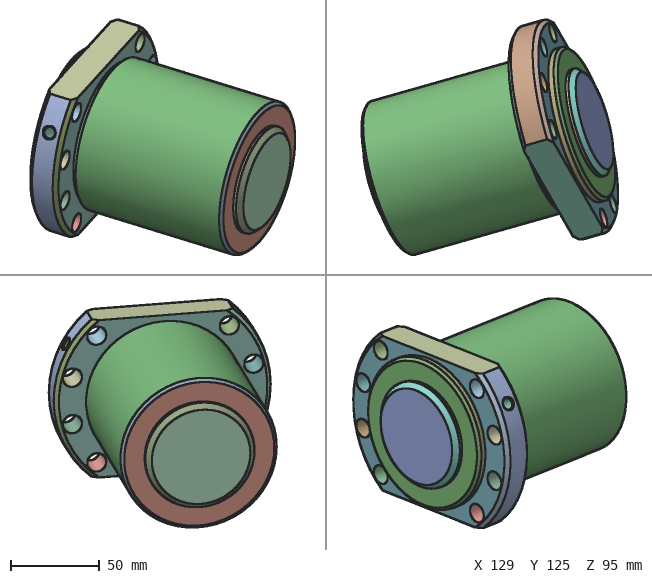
import cadquery as cq
import math

screw_length = 129.0
screw_diameter = 63.0
screw_chamfer = 3.1

screw_overhang = 4.9
nut_start = screw_overhang
nut_end = screw_length - screw_overhang
nut_diameter = 90.0
nut_chamfer = 1.8

flange_start = 9.9
flange_thickness = 18.0
flange_end = flange_start + flange_thickness
flange_diameter = 125.0
flange_height = 95.0
flange_chamfer = 2.5

groove_diameter = 84.6
groove_width = 3.0

bolt_hole_diameter = 11.0
bolt_circle_radius = 54.0
bolt_side_angles = (-45, -15, 15, 45)

oil_hole_diameter = 6.7
oil_hole_mouth_diameter = 8.0
oil_hole_angle = 30


def cylinder_x(start, end, diameter):
    """Cylinder on the X axis between two X positions."""
    return cq.Workplane("YZ").workplane(offset=start).circle(diameter / 2).extrude(end - start)


def make_screw():
    return cylinder_x(0, screw_length, screw_diameter).edges("%CIRCLE").chamfer(screw_chamfer)


def make_flange():
    disc = cylinder_x(flange_start, flange_end, flange_diameter).edges("%CIRCLE").chamfer(flange_chamfer)
    flats = cq.Workplane("XY").box(2 * flange_end, flange_diameter, flange_height)
    return disc.intersect(flats)


def make_bolt_holes():
    angles = [side + angle for side in (0, 180) for angle in bolt_side_angles]
    centers = [
        (bolt_circle_radius * math.cos(math.radians(a)), bolt_circle_radius * math.sin(math.radians(a)))
        for a in angles
    ]
    plane = cq.Workplane("YZ").workplane(offset=flange_start)
    return plane.pushPoints(centers).circle(bolt_hole_diameter / 2).extrude(flange_thickness)


def make_oil_hole():
    """Hole from the flange rim to the bore, with a 45 degree countersink at the rim."""
    rim = flange_diameter / 2
    hole_radius = oil_hole_diameter / 2
    mouth_radius = oil_hole_mouth_diameter / 2
    sink_bottom = rim - (mouth_radius - hole_radius)
    half_profile = [
        (0, 0),
        (hole_radius, 0),
        (hole_radius, sink_bottom),
        (mouth_radius, rim),
        (0, rim),
    ]
    cutter = cq.Workplane("XY").polyline(half_profile).close().revolve(360, (0, 0), (0, 1))
    cutter = cutter.translate((flange_start + flange_thickness / 2, 0, 0))
    return cutter.rotate((0, 0, 0), (1, 0, 0), 180 - oil_hole_angle)


def make_nut():
    barrel = cylinder_x(nut_start, nut_end, nut_diameter).edges("%CIRCLE").chamfer(nut_chamfer)
    groove_end = flange_end + groove_width
    groove = cylinder_x(flange_end, groove_end, nut_diameter).cut(
        cylinder_x(flange_end, groove_end, groove_diameter)
    )
    bore = cylinder_x(nut_start, nut_end, screw_diameter)
    body = barrel.cut(groove).union(make_flange())
    return body.cut(bore).cut(make_bolt_holes()).cut(make_oil_hole())


screw = make_screw()
nut = make_nut()

result = cq.Compound.makeCompound([screw.val(), *nut.vals()])